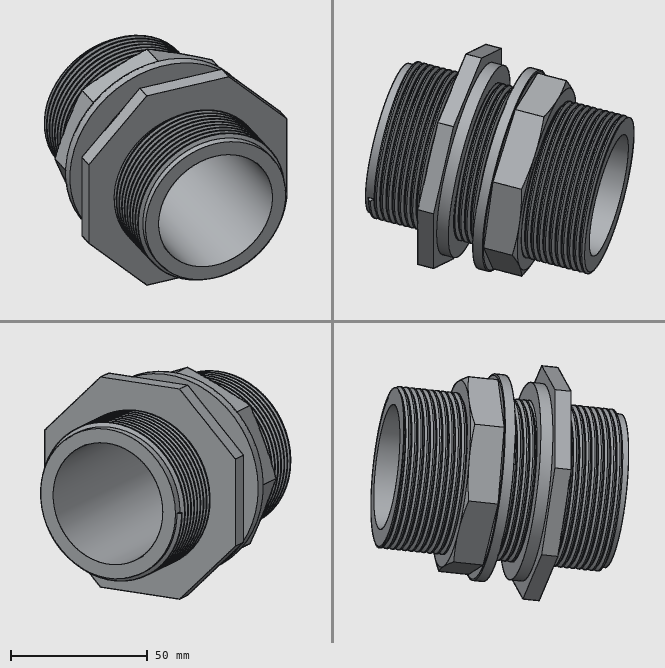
import cadquery as cq
import math


body_length = 84.5
bore_radius = 23.0

thread_pitch = 2.325
thread_turns = 36
thread_end_x = 82.35
flank_half_angle = math.radians(27.5)
major_radius = 29.8
thread_depth = 1.48
minor_radius = major_radius - thread_depth
root_width = 0.2
flank_run = thread_depth * math.tan(flank_half_angle)
crest_width = thread_pitch - root_width - 2 * flank_run
root_overlap = 0.1

collar_x = 54.4
collar_thickness = 6.1
collar_across_flats = 80.0

seal_thickness = 4.5
seal_radius = 36.4

nut_x = 24.0
nut_grip_length = 12.0
nut_across_corners = 74.4
nut_chamfer_length = 1.0
nut_flange_thickness = 4.0
nut_flange_radius = 38.1
nut_flange_bevel_length = 0.25
nut_flange_bevel_depth = 0.55

octagon_sides = 8
half_side_angle = math.pi / octagon_sides


def disc(start_x, thickness, radius):
    """Solid disc on the X axis, growing in +X."""
    return cq.Workplane("YZ", origin=(start_x, 0, 0)).circle(radius).extrude(thickness)


def octagon(start_x, thickness, across_corners, turn=0.0):
    """Octagonal plate on the X axis; with no turn, its corners lie on Y and Z."""
    base = cq.Workplane("YZ", origin=(start_x, 0, 0))
    plate = base.polygon(octagon_sides, across_corners).extrude(thickness)
    return plate.rotate((0, 0, 0), (1, 0, 0), math.degrees(turn))


def make_thread_ridge():
    """Helical trapezoid ridge that stops on the +Y side at thread_end_x."""
    base_radius = minor_radius - root_overlap
    base_half_width = crest_width / 2 + flank_run + root_overlap * math.tan(flank_half_angle)
    helix_height = thread_turns * thread_pitch
    helix = cq.Wire.makeHelix(thread_pitch, helix_height, base_radius)
    ridge = (
        cq.Workplane("XZ")
        .moveTo(base_radius, -base_half_width)
        .lineTo(major_radius, -crest_width / 2)
        .lineTo(major_radius, crest_width / 2)
        .lineTo(base_radius, base_half_width)
        .close()
        .sweep(cq.Workplane(obj=helix), isFrenet=True)
    )
    start_plane = cq.Plane(origin=(thread_end_x - helix_height, 0, 0), xDir=(0, 1, 0), normal=(1, 0, 0))
    return cq.Workplane(obj=ridge.val().moved(cq.Location(start_plane)))


def make_threaded_tube():
    tube = disc(0, body_length, minor_radius).union(make_thread_ridge())
    beyond_start = disc(-2 * thread_pitch, 2 * thread_pitch, 2 * major_radius)
    return tube.cut(beyond_start)


def make_body(threaded_tube):
    collar_across_corners = collar_across_flats / math.cos(half_side_angle)
    collar = octagon(collar_x, collar_thickness, collar_across_corners, half_side_angle)
    return threaded_tube.union(collar).cut(disc(0, body_length, bore_radius))


def make_seal():
    seal_x = collar_x - seal_thickness
    return disc(seal_x, seal_thickness, seal_radius).cut(disc(seal_x, seal_thickness, major_radius))


def make_nut(threaded_tube):
    corner_radius = nut_across_corners / 2
    face_radius = corner_radius * math.cos(half_side_angle)
    chamfered_blank = (
        cq.Workplane("XY")
        .moveTo(nut_x, 0)
        .lineTo(nut_x, face_radius)
        .lineTo(nut_x + nut_chamfer_length, corner_radius)
        .lineTo(nut_x + nut_grip_length, corner_radius)
        .lineTo(nut_x + nut_grip_length, 0)
        .close()
        .revolve(360, (0, 0, 0), (1, 0, 0))
    )
    grip = octagon(nut_x, nut_grip_length, nut_across_corners).intersect(chamfered_blank)
    flange = disc(nut_x + nut_grip_length, nut_flange_thickness, nut_flange_radius)
    flange = flange.faces("<X").chamfer(nut_flange_bevel_length, nut_flange_bevel_depth)
    return grip.union(flange).cut(threaded_tube)


threaded_tube = make_threaded_tube()
body = make_body(threaded_tube)
seal = make_seal()
nut = make_nut(threaded_tube)
result = cq.Compound.makeCompound([body.val(), seal.val(), nut.val()])